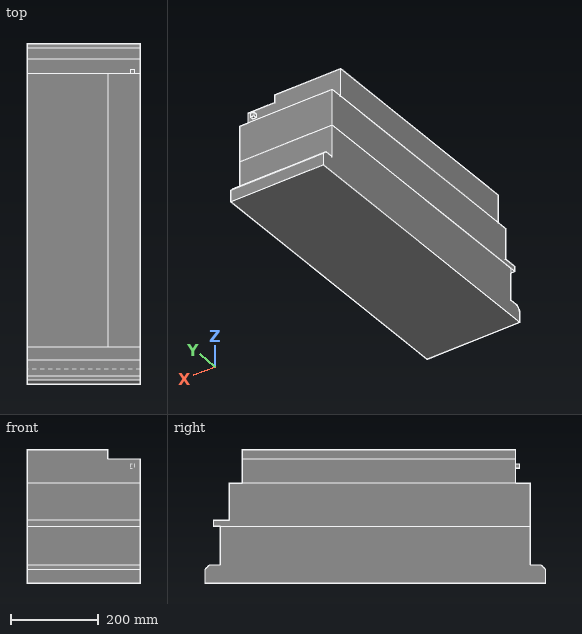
import cadquery as cq

WIDTH = 258.0
LENGTH = 775.0
HEIGHT = 304.0

BASE_TOP = 129.5
FOOT_HEIGHT = 42.0
FOOT_REACH = 35.0
FOOT_CHAMFER = 10.0

MIDDLE_TOP = 228.0
MIDDLE_FRONT = -332.5
LIP_FRONT = -368.0
LIP_THICKNESS = 14.0

COVER_FRONT = -303.0
COVER_BACK = 319.0
SHELF_WIDTH = 74.5
SHELF_DROP = 21.0

PEG_WIDTH = 10.0
PEG_HEIGHT = 10.0
PEG_LENGTH = 9.0
PEG_CENTER_X = 111.0
PEG_CENTER_Z = 266.5

FOOT_END = LENGTH / 2
WALL_END = FOOT_END - FOOT_REACH


def extrude_across_width(points):
    """Extrude a closed (Y, Z) outline over the full width, centred on X = 0."""
    return cq.Workplane("YZ").polyline(points).close().extrude(WIDTH / 2, both=True)


def make_base():
    chamfer_inner_end = FOOT_END - FOOT_CHAMFER
    chamfer_bottom = FOOT_HEIGHT - FOOT_CHAMFER
    back_half = [
        (FOOT_END, 0),
        (FOOT_END, chamfer_bottom),
        (chamfer_inner_end, FOOT_HEIGHT),
        (WALL_END, FOOT_HEIGHT),
        (WALL_END, BASE_TOP),
    ]
    front_half = [(-y, z) for y, z in reversed(back_half)]
    return extrude_across_width(back_half + front_half)


def make_middle_housing():
    lip_top = BASE_TOP + LIP_THICKNESS
    return extrude_across_width([
        (LIP_FRONT, BASE_TOP),
        (WALL_END, BASE_TOP),
        (WALL_END, MIDDLE_TOP),
        (MIDDLE_FRONT, MIDDLE_TOP),
        (MIDDLE_FRONT, lip_top),
        (LIP_FRONT, lip_top),
    ])


def make_cover():
    side = WIDTH / 2
    shelf_edge = side - SHELF_WIDTH
    shelf_top = HEIGHT - SHELF_DROP
    outline = [
        (-side, MIDDLE_TOP),
        (side, MIDDLE_TOP),
        (side, shelf_top),
        (shelf_edge, shelf_top),
        (shelf_edge, HEIGHT),
        (-side, HEIGHT),
    ]
    back_plane = cq.Workplane("XZ", origin=(0, COVER_BACK, 0))
    return back_plane.polyline(outline).close().extrude(COVER_BACK - COVER_FRONT)


def make_peg():
    peg_center_y = COVER_BACK + PEG_LENGTH / 2
    return cq.Workplane("XY").box(PEG_WIDTH, PEG_LENGTH, PEG_HEIGHT).translate(
        (PEG_CENTER_X, peg_center_y, PEG_CENTER_Z)
    )


base = make_base()
middle_housing = make_middle_housing()
cover = make_cover()
peg = make_peg()

result = cq.Compound.makeCompound([base.val(), middle_housing.val(), cover.val(), peg.val()])